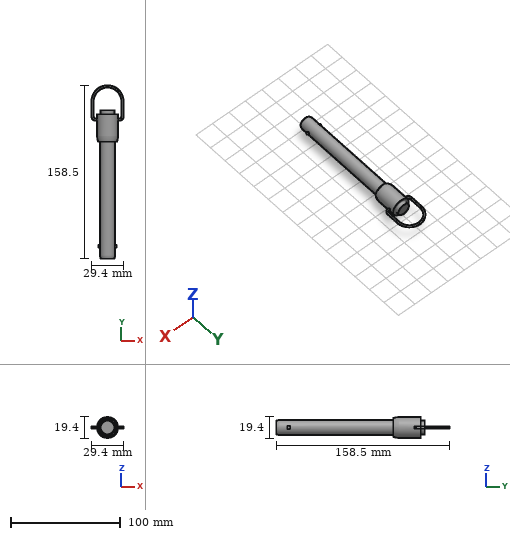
import cadquery as cq
import math

TOTAL_LENGTH = 158.5

SHANK_RADIUS = 7.0
TIP_RADIUS = 6.2
TIP_LENGTH = 3.0

COLLAR_RADIUS = 9.7
COLLAR_NOSE_RADIUS = 8.5
COLLAR_FRONT = 106.7
COLLAR_NOSE_LENGTH = 5.2
COLLAR_BACK = 132.0

BUTTON_RADIUS = 6.5
BUTTON_BACK = 135.8
BUTTON_FLARE = 1.0

BALL_RADIUS = 1.6
BALL_POSITION = 11.4
BALL_REACH = 8.5

WIRE_RADIUS = 1.1
RING_RADIUS = 13.6
RING_BEND_RADIUS = 3.0
RING_END_POSITION = 127.0
RING_END_DEPTH = 1.6


def rounded_end_middle(end_radius, full_radius, start, length):
    """Middle point of a convex arc that ends tangent to a straight cylinder."""
    drop = full_radius - end_radius
    arc_radius = (length**2 + drop**2) / (2 * drop)
    half_angle = math.asin(length / arc_radius) / 2
    radius = full_radius - arc_radius * (1 - math.cos(half_angle))
    return radius, start + length - arc_radius * math.sin(half_angle)


def make_pin():
    """Revolve shank, collar and button as one profile of (radius, Y) points."""
    tip_middle = rounded_end_middle(TIP_RADIUS, SHANK_RADIUS, 0, TIP_LENGTH)
    nose_middle = rounded_end_middle(
        COLLAR_NOSE_RADIUS, COLLAR_RADIUS, COLLAR_FRONT, COLLAR_NOSE_LENGTH
    )
    nose_end = COLLAR_FRONT + COLLAR_NOSE_LENGTH
    flare_radius = BUTTON_RADIUS + BUTTON_FLARE
    flare_end = COLLAR_BACK + BUTTON_FLARE
    flare_offset = BUTTON_FLARE * math.sqrt(0.5)
    flare_middle = (flare_radius - flare_offset, flare_end - flare_offset)
    return (
        cq.Workplane("XY")
        .lineTo(TIP_RADIUS, 0)
        .threePointArc(tip_middle, (SHANK_RADIUS, TIP_LENGTH))
        .lineTo(SHANK_RADIUS, COLLAR_FRONT)
        .lineTo(COLLAR_NOSE_RADIUS, COLLAR_FRONT)
        .threePointArc(nose_middle, (COLLAR_RADIUS, nose_end))
        .lineTo(COLLAR_RADIUS, COLLAR_BACK)
        .lineTo(flare_radius, COLLAR_BACK)
        .threePointArc(flare_middle, (BUTTON_RADIUS, flare_end))
        .lineTo(BUTTON_RADIUS, BUTTON_BACK)
        .lineTo(0, BUTTON_BACK)
        .close()
        .revolve(360, (0, 0, 0), (0, 1, 0))
    )


def make_ball(side):
    """Ball standing out of the shank on the given side (-1 or 1) in X."""
    center_x = side * (BALL_REACH - BALL_RADIUS)
    return cq.Workplane("XY").sphere(BALL_RADIUS).translate((center_x, BALL_POSITION, 0))


def make_ring():
    """Sweep the wire from inside one side of the collar round to the other."""
    end_x = COLLAR_RADIUS - RING_END_DEPTH
    bend_x = RING_RADIUS - RING_BEND_RADIUS
    bend_top = RING_END_POSITION + RING_BEND_RADIUS
    bend_offset = RING_BEND_RADIUS * math.sqrt(0.5)
    bend_middle_x = bend_x + bend_offset
    bend_middle_y = bend_top - bend_offset
    ring_top = TOTAL_LENGTH - WIRE_RADIUS
    arc_start = ring_top - RING_RADIUS
    path = (
        cq.Workplane("XY")
        .moveTo(-end_x, RING_END_POSITION)
        .lineTo(-bend_x, RING_END_POSITION)
        .threePointArc((-bend_middle_x, bend_middle_y), (-RING_RADIUS, bend_top))
        .lineTo(-RING_RADIUS, arc_start)
        .threePointArc((0, ring_top), (RING_RADIUS, arc_start))
        .lineTo(RING_RADIUS, bend_top)
        .threePointArc((bend_middle_x, bend_middle_y), (bend_x, RING_END_POSITION))
        .lineTo(end_x, RING_END_POSITION)
    )
    return (
        cq.Workplane("YZ", origin=(-end_x, RING_END_POSITION, 0))
        .circle(WIRE_RADIUS)
        .sweep(path)
    )


result = make_pin().union(make_ring())
for side in (-1, 1):
    result = result.union(make_ball(side))